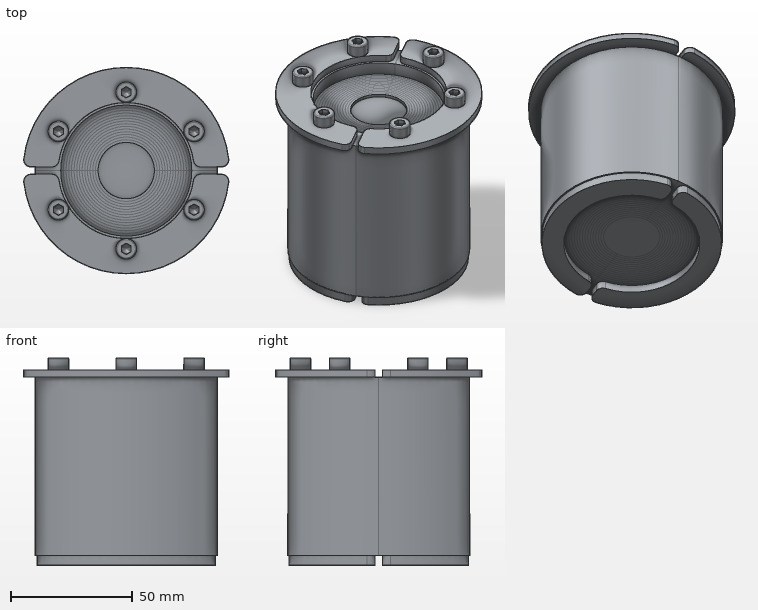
import cadquery as cq
import math

foot_height = 4.0
body_height = 73.5
flange_thickness = 3.0
screw_head_height = 5.0

body_radius = 37.5
core_radius = 11.6
layer_count = 14
layer_thickness = 1.1
shell_bore_radius = core_radius + layer_count * layer_thickness
layer_recess = 5.5
core_recess = 1.25

flange_radius = 42.5
foot_radius = 37.0
plate_bore_radius = 28.0
plate_gap = 3.0
plate_corner_radius = 3.0

screw_count = 6
screw_head_radius = 4.25
screw_circle_radius = plate_bore_radius + screw_head_radius
screw_edge_radius = 0.5
socket_across_flats = 4.0
socket_depth = 2.5
socket_tip_angle = 118.0

body_bottom = foot_height
body_top = body_bottom + body_height
flange_top = body_top + flange_thickness
layer_top = body_top - layer_recess
core_top = layer_top - core_recess


def half_disc(radius, height, side):
    """Half cylinder on the +Y (side = 1) or -Y (side = -1) side of the split plane."""
    return (
        cq.Workplane("XY")
        .moveTo(-radius, 0)
        .threePointArc((0, side * radius), (radius, 0))
        .close()
        .extrude(height)
    )


def half_tube(inner_radius, outer_radius, top, side):
    """Half tube standing on the body bottom."""
    height = top - body_bottom
    bore = cq.Workplane("XY").circle(inner_radius).extrude(height)
    tube = half_disc(outer_radius, height, side).cut(bore)
    return tube.translate((0, 0, body_bottom))


def sleeve_body():
    """Two shell halves and their layers around the core; their seams are kept as edges."""
    core_height = core_top - body_bottom
    body = cq.Workplane("XY", origin=(0, 0, body_bottom)).circle(core_radius).extrude(core_height)
    for side in (1, -1):
        for layer in range(layer_count):
            inner_radius = core_radius + layer * layer_thickness
            tube = half_tube(inner_radius, inner_radius + layer_thickness, layer_top, side)
            body = body.union(tube, clean=False)
        shell = half_tube(shell_bore_radius, body_radius, body_top, side)
        body = body.union(shell, clean=False)
    return body


def clamp_plates(outer_radius, thickness, bottom):
    """Two half rings separated by a gap along X, with rounded corners."""
    gap = cq.Workplane("XY").box(2 * outer_radius, plate_gap, thickness, centered=(True, True, False))
    ring = cq.Workplane("XY").circle(outer_radius).circle(plate_bore_radius).extrude(thickness)
    halves = ring.cut(gap).edges("|Z").fillet(plate_corner_radius)
    return halves.translate((0, 0, bottom))


def screw_socket():
    """Hexagonal socket with a conical bottom, opening at the top of the screw head."""
    corner_radius = socket_across_flats / 2 / math.cos(math.pi / 6)
    tip_depth = corner_radius / math.tan(math.radians(socket_tip_angle / 2))
    drill = (
        cq.Workplane("XZ")
        .moveTo(0, 0)
        .lineTo(corner_radius, 0)
        .lineTo(corner_radius, -socket_depth)
        .lineTo(0, -socket_depth - tip_depth)
        .close()
        .revolve(360, (0, 0), (0, 1))
    )
    hexagon = cq.Workplane("XY").polygon(6, 2 * corner_radius).extrude(-socket_depth - tip_depth)
    corners_along_y = hexagon.rotate((0, 0, 0), (0, 0, 1), 90)
    return corners_along_y.intersect(drill).translate((0, 0, screw_head_height))


def screw_head():
    """Cylindrical screw head with a rounded top edge and a hexagonal socket."""
    head = cq.Workplane("XY").circle(screw_head_radius).extrude(screw_head_height)
    return head.faces(">Z").edges().fillet(screw_edge_radius).cut(screw_socket())


def add_screws(part):
    """Places the screw heads evenly on the flange, the first one on the +Y axis."""
    head = screw_head()
    for index in range(screw_count):
        angle = math.pi / 2 + index * 2 * math.pi / screw_count
        x = screw_circle_radius * math.cos(angle)
        y = screw_circle_radius * math.sin(angle)
        part = part.union(head.translate((x, y, flange_top)), clean=False)
    return part


part = sleeve_body()
part = part.union(clamp_plates(foot_radius, foot_height, 0), clean=False)
part = part.union(clamp_plates(flange_radius, flange_thickness, body_top), clean=False)
result = add_screws(part)